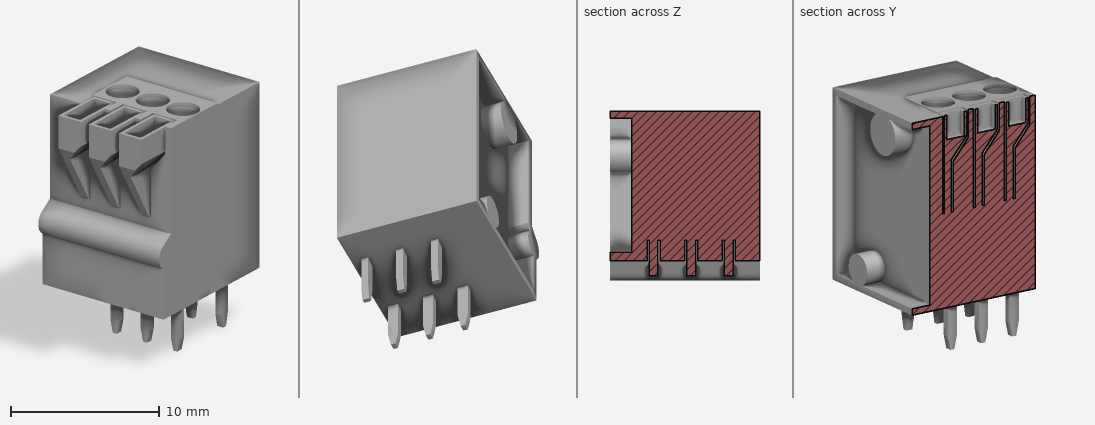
import cadquery as cq
import math


poles = 3
width = 10.15
pitch = width / (poles + 1)
plate_left = pitch

body_height = 13.68
upper_front_out = 10.1
lower_front_out = 10.95
bar_radius = 1.0
bar_out = 10.43
bar_height = 4.58
ramp_angle = math.radians(34.3)

plate_thickness = 0.12
plate_back_out = 4.8
plate_top = body_height + plate_thickness

recess_depth = 1.45
recess_wall = 0.48
upper_front_wall = 0.6
lower_front_wall = 0.54
ramp_wall = 0.52
bosses = [(5.95, 11.94, 1.49), (3.01, 1.5, 1.1)]

lever_side_gap = 0.1
lever_left = plate_left + lever_side_gap
lever_width = 1.87
lever_stem_width = 0.62
lever_top = 13.72
lever_bottom = 6.76
lever_back_out = 8.72
lever_front_out = 12.7
lever_nose_height = 11.3
lever_shoulder_height = 11.92
lever_stem_height = 10.48
slot_width = 2.06
slot_stem_width = 0.85
slot_drop = 0.14
lever_wall = 0.25
lever_pocket_depth = 1.73

entry_first_x = plate_left + pitch / 2
entry_out = 7.0
entry_radius = 1.16
entry_floor_radius = 0.57
entry_rim_depth = 0.3
entry_cone_depth = 1.1

pin_first_x = 4.1
pin_length = 3.5
pin_taper_length = 0.97
pin_width = 0.75
pin_tip_width = 0.33
pin_thickness = 0.5
pin_back_row_out = 3.01
pin_front_row_out = 8.05


def side_plane(x):
    """Plane facing -X whose local axes are the distance out from the back and the height."""
    return cq.Workplane(cq.Plane(origin=(x, 0, 0), xDir=(0, -1, 0), normal=(-1, 0, 0)))


def front_plane(out):
    """Plane facing -Y whose local axes are X and the height."""
    return cq.Workplane("XZ", origin=(0, -out, 0))


def block(x_min, x_max, out_min, out_max, z_min, z_max):
    size = (x_max - x_min, out_max - out_min, z_max - z_min)
    return cq.Workplane("XY").box(*size, centered=False).translate((x_min, -out_max, z_min))


def rod(out, height, radius, length):
    """Round rod along X starting at the recessed end face."""
    return side_plane(0).center(out, height).circle(radius).extrude(-length)


ramp_end_out = bar_out + bar_radius * math.sin(ramp_angle)
ramp_end_height = bar_height + bar_radius * math.cos(ramp_angle)


def ramp_height(out):
    return ramp_end_height + (ramp_end_out - out) * math.tan(ramp_angle)


def make_housing():
    outline = [
        (0, 0),
        (lower_front_out, 0),
        (lower_front_out, bar_height),
        (ramp_end_out, ramp_end_height),
        (upper_front_out, ramp_height(upper_front_out)),
        (upper_front_out, body_height),
        (0, body_height),
    ]
    housing = side_plane(0).polyline(outline).close().extrude(-width)
    plate = block(plate_left, width, plate_back_out, upper_front_out, body_height, plate_top)
    return housing.union(rod(bar_out, bar_height, bar_radius, width)).union(plate)


def make_recess():
    inner_upper = upper_front_out - upper_front_wall
    inner_lower = lower_front_out - lower_front_wall
    ramp_drop = ramp_wall / math.cos(ramp_angle)
    outline = [
        (recess_wall, recess_wall),
        (inner_lower, recess_wall),
        (inner_lower, ramp_height(inner_lower) - ramp_drop),
        (inner_upper, ramp_height(inner_upper) - ramp_drop),
        (inner_upper, body_height - recess_wall),
        (recess_wall, body_height - recess_wall),
    ]
    recess = side_plane(0).polyline(outline).close().extrude(-recess_depth)
    for out, height, radius in bosses + [(bar_out, bar_height, bar_radius)]:
        recess = recess.cut(rod(out, height, radius, recess_depth))
    return recess


def stepped_prism(left, head_width, stem_width, top, drop):
    """Prism with a wide head narrowing on its +X side to a stem; drop lowers the slanted step."""
    outline = [
        (left, lever_bottom),
        (left + stem_width, lever_bottom),
        (left + stem_width, lever_stem_height - drop),
        (left + head_width, lever_shoulder_height - drop),
        (left + head_width, top),
        (left, top),
    ]
    length = lever_front_out - lever_back_out
    return front_plane(lever_back_out).polyline(outline).close().extrude(length)


def make_slot(shift):
    return stepped_prism(plate_left + shift, slot_width, slot_stem_width, plate_top, slot_drop)


def make_lever(shift):
    left = lever_left + shift
    right = left + lever_width
    side_outline = [
        (lever_back_out, lever_bottom),
        (upper_front_out, lever_bottom),
        (lever_front_out, lever_nose_height),
        (lever_front_out, lever_top),
        (lever_back_out, lever_top),
    ]
    side = side_plane(left).polyline(side_outline).close().extrude(-lever_width)
    lever = stepped_prism(left, lever_width, lever_stem_width, lever_top, 0).intersect(side)
    pocket = block(
        left + lever_wall,
        right - lever_wall,
        lever_back_out + lever_wall,
        lever_front_out - lever_wall,
        lever_top - lever_pocket_depth,
        lever_top,
    )
    return lever.cut(pocket)


def make_entry(shift):
    """Wire entry: a short straight rim above a cone with a flat floor."""
    cone_top = plate_top - entry_rim_depth
    outline = [
        (0, plate_top),
        (entry_radius, plate_top),
        (entry_radius, cone_top),
        (entry_floor_radius, cone_top - entry_cone_depth),
        (0, cone_top - entry_cone_depth),
    ]
    entry = cq.Workplane("XZ").polyline(outline).close().revolve(360, (0, 0, 0), (0, 1, 0))
    return entry.translate((entry_first_x + shift, -entry_out, 0))


def make_pin():
    """Flat pin hanging from the origin, wide along X and tapered towards its tip."""
    half = pin_width / 2
    half_tip = pin_tip_width / 2
    taper_start = pin_taper_length - pin_length
    outline = [
        (-half, 0),
        (-half, taper_start),
        (-half_tip, -pin_length),
        (half_tip, -pin_length),
        (half, taper_start),
        (half, 0),
    ]
    return cq.Workplane("XZ").polyline(outline).close().extrude(pin_thickness / 2, both=True)


front_pin = make_pin()
back_pin = front_pin.rotate((0, 0, 0), (0, 0, 1), 90)

result = make_housing().cut(make_recess())
for pole in range(poles):
    shift = pole * pitch
    pin_x = pin_first_x + shift
    result = result.cut(make_slot(shift)).cut(make_entry(shift))
    result = result.union(make_lever(shift))
    result = result.union(front_pin.translate((pin_x, -pin_front_row_out, 0)))
    result = result.union(back_pin.translate((pin_x, -pin_back_row_out, 0)))